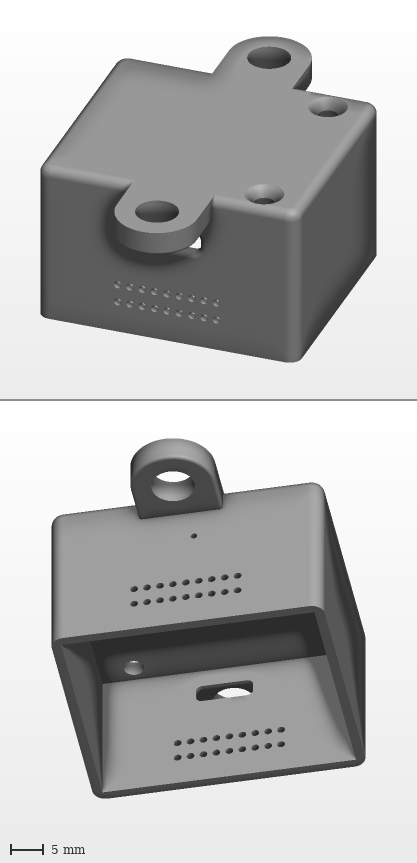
import cadquery as cq

case_length = 42.5
case_width = 37.0
case_height = 26.5
wall = 1.5
roof = 4.0
corner_radius = 2.0
top_edge_radius = 1.5

overall_width = 63.0
tab_width = 13.1
tab_thickness = roof
tab_rim_radius = 0.5
tab_hole_diameter = 6.75
tab_x = 0.75
tab_hole_y = (overall_width - tab_width) / 2

screw_diameter = 3.1
screw_head_diameter = 6.1
screw_head_angle = 90
screw_x = 14.35
screw_spacing = 28.3
screw_middle_y = -0.2

slot_length = 8.95
slot_height = 3.1
slot_corner_radius = 1.0
slot_rim_radius = 1.0
slot_z = case_height - 8.6

pinhole_diameter = 1.0
pinhole_x = -1.25
pinhole_z = case_height - 8.8

vent_diameter = 1.2
vent_columns = 9
vent_rows = 2
vent_pitch_x = 2.0
vent_pitch_z = 3.0
vent_middle_z = 6.75


def make_case():
    """Rounded block without its cavity."""
    block = cq.Workplane("XY").box(case_length, case_width, case_height, centered=(True, True, False))
    return block.edges("|Z").fillet(corner_radius).faces(">Z").edges().fillet(top_edge_radius)


def make_cavity():
    """Space inside the walls, open at the bottom."""
    return cq.Workplane("XY").box(
        case_length - 2 * wall,
        case_width - 2 * wall,
        case_height - roof,
        centered=(True, True, False),
    )


def make_tabs():
    """Round-ended bar across the case that forms both tabs, with a rounded lower rim."""
    bar = (
        cq.Workplane("XY", origin=(tab_x, 0, case_height - tab_thickness))
        .slot2D(overall_width, tab_width, 90)
        .extrude(tab_thickness)
    )
    return bar.faces("<Z").edges().fillet(tab_rim_radius)


def cut_top_holes(body):
    """Plain holes in the tabs and countersunk holes beside them."""
    top = cq.Workplane("XY", origin=(0, 0, case_height))
    tab_holes = (
        top.pushPoints([(tab_x, -tab_hole_y), (tab_x, tab_hole_y)])
        .circle(tab_hole_diameter / 2)
        .extrude(-tab_thickness)
    )
    body = body.cut(tab_holes)
    screw_points = [(screw_x, screw_middle_y + side * screw_spacing / 2) for side in (-1, 1)]
    return (
        body.copyWorkplane(top)
        .pushPoints(screw_points)
        .cskHole(screw_diameter, screw_head_diameter, screw_head_angle)
    )


def cut_slot(body):
    """Connector opening whose outer rim is rounded, widening towards the outside."""
    front_y = -case_width / 2
    opening = (
        cq.Workplane("XZ", origin=(tab_x, front_y, slot_z))
        .rect(slot_length, slot_height)
        .extrude(-wall)
        .edges("|Y")
        .fillet(slot_corner_radius)
    )
    reach_x = slot_length / 2 + slot_rim_radius
    reach_z = slot_height / 2 + slot_rim_radius
    rim_box = cq.selectors.BoxSelector(
        (tab_x - reach_x, front_y - wall / 2, slot_z - reach_z),
        (tab_x + reach_x, front_y + wall / 4, slot_z + reach_z),
    )
    return body.cut(opening).edges(rim_box).fillet(slot_rim_radius)


def make_pinhole():
    """Small round hole through the back wall."""
    back = cq.Workplane("XZ", origin=(pinhole_x, case_width / 2, pinhole_z))
    return back.circle(pinhole_diameter / 2).extrude(wall)


def make_vents():
    """Grid of round holes through the front and back walls."""
    front = cq.Workplane("XZ", origin=(0, -case_width / 2, vent_middle_z))
    return (
        front.rarray(vent_pitch_x, vent_pitch_z, vent_columns, vent_rows)
        .circle(vent_diameter / 2)
        .extrude(-case_width)
    )


body = make_case().union(make_tabs()).cut(make_cavity())
body = cut_top_holes(body)
body = cut_slot(body)
result = body.cut(make_pinhole()).cut(make_vents())